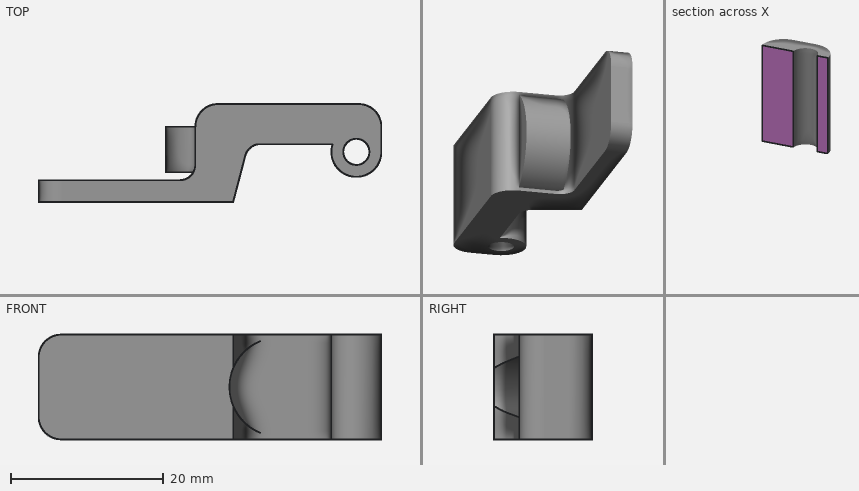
import cadquery as cq
import math

length = 45.04
depth = 12.9
height = 13.8

plate_thickness = 2.9
plate_end_x = 25.57
plate_corner_radius = 3.0
step_x = 20.58
step_inner_radius = 2.0
step_outer_radius = 3.0
slope_top_x = 27.2

arm_thickness = 5.3
arm_inner_y = depth - arm_thickness
arm_inner_radius = 2.0
arm_inner_round_x = 29.1
arm_end_radius = 3.0
barrel_radius = 3.3
barrel_x = length - barrel_radius
barrel_y = 6.6
pin_diameter = 3.4

recess_radius = 6.5
recess_left_x = 25.07

boss_left_x = 16.7
boss_half_height = 6.45
boss_front_y = 3.9
boss_back_y = depth - step_outer_radius
boss_embed = 1.0


def make_body():
    """Cranked plate and arm, extruded along Z and centred on Z = 0."""
    round_y = arm_inner_y - arm_inner_radius
    slope_top_y = round_y + math.sqrt(arm_inner_radius**2 - (arm_inner_round_x - slope_top_x) ** 2)
    body = (
        cq.Workplane("XY", origin=(0, 0, -height / 2))
        .moveTo(0, 0)
        .lineTo(plate_end_x, 0)
        .lineTo(slope_top_x, slope_top_y)
        .radiusArc((arm_inner_round_x, arm_inner_y), arm_inner_radius)
        .lineTo(barrel_x, arm_inner_y)
        .lineTo(barrel_x, barrel_y)
        .lineTo(length, barrel_y)
        .lineTo(length, depth)
        .lineTo(step_x, depth)
        .lineTo(step_x, plate_thickness)
        .lineTo(0, plate_thickness)
        .close()
        .extrude(height)
    )
    rounded_corners = [
        (length, depth, arm_end_radius),
        (step_x, depth, step_outer_radius),
        (step_x, plate_thickness, step_inner_radius),
    ]
    for x, y, radius in rounded_corners:
        edge = cq.selectors.NearestToPointSelector((x, y, 0))
        body = body.edges("|Z").edges(edge).fillet(radius)
    return body.faces("<X").edges("|Y").fillet(plate_corner_radius)


def barrel_cylinder(radius):
    """Full-height cylinder on the hinge axis."""
    return (
        cq.Workplane("XY", origin=(barrel_x, barrel_y, -height / 2))
        .circle(radius)
        .extrude(height)
    )


def make_recess():
    """Cylinder along Y that cuts the sloped face down to the arm's inner face."""
    return (
        cq.Workplane("XZ")
        .center(recess_left_x + recess_radius, 0)
        .circle(recess_radius)
        .extrude(-arm_inner_y)
    )


def make_boss():
    """Circular segment along Y, bulging out of the step face toward the plate end."""
    return (
        cq.Workplane("XZ", origin=(0, boss_front_y, 0))
        .moveTo(step_x, -boss_half_height)
        .threePointArc((boss_left_x, 0), (step_x, boss_half_height))
        .lineTo(step_x + boss_embed, boss_half_height)
        .lineTo(step_x + boss_embed, -boss_half_height)
        .close()
        .extrude(boss_front_y - boss_back_y)
    )


result = (
    make_body()
    .cut(make_recess())
    .union(barrel_cylinder(barrel_radius))
    .cut(barrel_cylinder(pin_diameter / 2))
    .union(make_boss())
)